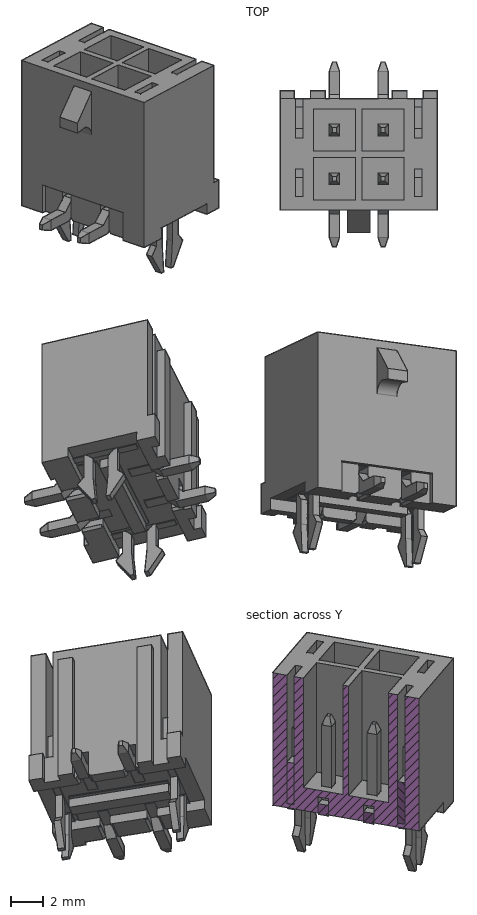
import cadquery as cq


pitch = 3.0
grid = [(column * pitch / 2, side) for column in (-1, 1) for side in (-1, 1)]
housing_width = 9.7
housing_depth = 6.88
housing_height = 9.9
total_height = 13.0
half_width = housing_width / 2
half_depth = housing_depth / 2

cavity_side = 2.6
cavity_floor_z = 2.34

rear_projection = 0.5
foot_width = 0.88
foot_height = 1.91
rib_inner_x = 2.05
rib_width = 0.94
rib_height = 8.9

channel_front_y = -1.74
channel_rear_y = 2.73
channel_height = 0.72
pad_drop = 0.08
front_pad_rear_y = -0.45
rear_pad_rear_y = 0.79
standoff_front_y = -0.22
standoff_rear_y = 0.58
recess_width = 6.35
recess_height = 1.9
recess_depth = 0.29

latch_width = 1.39
latch_reach = 1.39
latch_top_z = 9.41
latch_nose_top_z = 7.77
latch_nose_bottom_z = 7.1
latch_root_z = 6.49
latch_arc_depth = 0.7
latch_arc_top_z = 7.2
latch_arc_mid_depth = 0.22
latch_arc_mid_z = 6.98

pin_width = 0.65
pin_thickness = 0.72
pin_span = 11.4
pin_reach = pin_span / 2
pin_top_z = 7.15
tip_length = 0.58
tip_width = 0.25
tail_tip_thickness = 0.34
leg_tip_thickness = 0.29
run_bottom_z = channel_height - pad_drop
run_top_z = 1.4
bend_bottom_y = 2.6
bend_top_y = 3.0
leg_inner_y = pitch / 2 - pin_thickness / 2
leg_outer_y = pitch / 2 + pin_thickness / 2
slot_height = 1.83
slot_chamfer = 0.15

clip_x = 3.67
clip_thickness = 0.44
clip_centre_y = 0.05
clip_tip_z = housing_height - total_height
leg_inner = 0.5
leg_outer = 1.09
barb_outer = 1.52
barb_top_z = -1.08
barb_point_z = -1.61
leg_bend_z = -1.3
leg_tip_inner = 0.35
leg_tip_outer = 0.6
notch_start_z = 0.29
arm_inner = 0.95
notch_top_z = notch_start_z + arm_inner - leg_inner
shoulder_z = run_bottom_z
shoulder_outer = 2.3
wing_bottom_z = 1.04
wing_top_z = 3.9
arm_top_z = 5.85
rear_arm_outer = 1.53
rear_wing_outer = 2.86
front_arm_outer = 1.47
front_wing_outer = 2.65


def box(x0, x1, y0, y1, z0, z1):
    """Axis-aligned block between the given limits."""
    return cq.Workplane("XY").box(x1 - x0, y1 - y0, z1 - z0, centered=False).translate((x0, y0, z0))


def side_prism(points, x, width):
    """Prism of a (Y, Z) outline, centred on the given X."""
    return cq.Workplane("YZ").polyline(points).close().extrude(width / 2, both=True).translate((x, 0, 0))


def tapered_tip(plane, tip_thickness):
    """Frustum that narrows from the pin section to its blunt end."""
    return (
        cq.Workplane(plane)
        .rect(pin_width, pin_thickness)
        .workplane(offset=tip_length)
        .rect(tip_width, tip_thickness)
        .loft(ruled=True)
    )


def make_pin(x, side):
    """Contact: vertical leg, run under the cavity, bend down and solder tail."""
    tail_end_y = pin_reach - tip_length
    leg_end_z = pin_top_z - tip_length
    outline = [
        (leg_inner_y, run_bottom_z),
        (bend_bottom_y, run_bottom_z),
        (bend_bottom_y + run_bottom_z, 0),
        (tail_end_y, 0),
        (tail_end_y, pin_thickness),
        (bend_top_y + run_top_z - pin_thickness, pin_thickness),
        (bend_top_y, run_top_z),
        (leg_outer_y, run_top_z),
        (leg_outer_y, leg_end_z),
        (leg_inner_y, leg_end_z),
    ]
    pin = side_prism(outline, 0, pin_width)
    tail_plane = cq.Plane((0, tail_end_y, pin_thickness / 2), xDir=(1, 0, 0), normal=(0, 1, 0))
    leg_plane = cq.Plane((0, pitch / 2, leg_end_z))
    pin = pin.union(tapered_tip(tail_plane, tail_tip_thickness))
    pin = pin.union(tapered_tip(leg_plane, leg_tip_thickness))
    if side < 0:
        pin = pin.rotate((0, 0, 0), (0, 0, 1), 180)
    return pin.translate((x, 0, 0))


def clip_half(side, arm_outer, wing_outer):
    """Half outline of a clip, from the inner top of the leg notch round to the top of the bridge."""
    half = [
        (0, notch_top_z),
        (arm_inner, notch_top_z),
        (leg_inner, notch_start_z),
        (leg_inner, leg_bend_z),
        (leg_tip_inner, clip_tip_z),
        (leg_tip_outer, clip_tip_z),
        (barb_outer, barb_point_z),
        (leg_outer, barb_top_z),
        (leg_outer, shoulder_z),
        (shoulder_outer, shoulder_z),
        (shoulder_outer, wing_bottom_z),
        (wing_outer, wing_bottom_z),
        (wing_outer, wing_top_z),
        (arm_outer, wing_top_z),
        (arm_outer, arm_top_z),
        (arm_inner, arm_top_z),
        (arm_inner, wing_top_z),
        (0, wing_top_z),
    ]
    return [(clip_centre_y + side * y, z) for y, z in half]


def make_clip(x):
    """Flat board lock: two barbed legs joined by a bridge, with two arms above."""
    rear_half = clip_half(1, rear_arm_outer, rear_wing_outer)
    front_half = clip_half(-1, front_arm_outer, front_wing_outer)
    return side_prism(rear_half, x, clip_thickness).union(side_prism(front_half, x, clip_thickness))


def make_latch():
    """Ramped catch with a hollow curved underside."""
    front_y = -half_depth
    return (
        cq.Workplane("YZ")
        .moveTo(front_y, latch_root_z)
        .lineTo(front_y, latch_top_z)
        .lineTo(front_y - latch_reach, latch_nose_top_z)
        .lineTo(front_y - latch_reach, latch_nose_bottom_z)
        .lineTo(front_y - latch_arc_depth, latch_arc_top_z)
        .threePointArc((front_y - latch_arc_mid_depth, latch_arc_mid_z), (front_y, latch_root_z))
        .close()
        .extrude(latch_width / 2, both=True)
    )


def pin_passage(x, side):
    """Slot under a contact with a flared mouth at the bottom, and the hole for its leg."""
    half = pin_width / 2
    flare = half + slot_chamfer
    slot = (
        cq.Workplane("XZ")
        .polyline([(-flare, 0), (-half, slot_chamfer), (-half, slot_height),
                   (half, slot_height), (half, slot_chamfer), (flare, 0)])
        .close()
        .extrude(-(half_depth - leg_outer_y))
        .translate((0, leg_outer_y, 0))
    )
    hole = box(-half, half, leg_inner_y, leg_outer_y, 0, cavity_floor_z)
    passage = slot.union(hole)
    if side < 0:
        passage = passage.rotate((0, 0, 0), (0, 0, 1), 180)
    return passage.translate((x, 0, 0))


def clip_slots(x):
    """Two shafts above a clip; the rear one opens through the back wall above the foot."""
    x0 = x - clip_thickness / 2
    x1 = x + clip_thickness / 2
    front_y0 = clip_centre_y - front_wing_outer
    front_y1 = clip_centre_y - arm_inner
    rear_y0 = clip_centre_y + arm_inner
    rear_y1 = clip_centre_y + rear_wing_outer
    front_shaft = box(x0, x1, front_y0, front_y1, wing_top_z, housing_height)
    rear_shaft = box(x0, x1, rear_y0, rear_y1, wing_top_z, housing_height)
    back_opening = box(x0, x1, rear_y1, half_depth, foot_height, housing_height)
    return front_shaft.union(rear_shaft).union(back_opening)


def make_housing(clips):
    body = box(-half_width, half_width, -half_depth, half_depth, 0, housing_height)

    rear_y = half_depth + rear_projection
    for foot_x, width, height in (
        (half_width - foot_width, foot_width, foot_height),
        (rib_inner_x, rib_width, rib_height),
    ):
        block = box(foot_x, foot_x + width, half_depth, rear_y, 0, height)
        body = body.union(block).union(block.mirror("YZ"))

    body = body.cut(box(-half_width, half_width, channel_front_y, channel_rear_y, 0, channel_height))
    pad_half = recess_width / 2
    pad_z = channel_height - pad_drop
    body = body.union(box(-pad_half, pad_half, channel_front_y, front_pad_rear_y, pad_z, channel_height))
    body = body.union(box(-pad_half, pad_half, standoff_rear_y, rear_pad_rear_y, pad_z, channel_height))
    body = body.union(box(-pad_half, pad_half, standoff_front_y, standoff_rear_y, 0, channel_height))

    body = body.cut(
        box(-pad_half, pad_half, -half_depth, -half_depth + recess_depth, 0, recess_height)
    )

    for x, side in grid:
        cavity = box(-cavity_side / 2, cavity_side / 2, -cavity_side / 2, cavity_side / 2,
                     cavity_floor_z, housing_height)
        body = body.cut(cavity.translate((x, side * pitch / 2, 0)))
        body = body.cut(pin_passage(x, side))

    for clip in clips:
        body = body.cut(clip)
    for x in (-clip_x, clip_x):
        body = body.cut(clip_slots(x))

    return body.union(make_latch())


pins = [make_pin(x, side) for x, side in grid]
clips = [make_clip(x) for x in (-clip_x, clip_x)]
housing = make_housing(clips)

result = cq.Compound.makeCompound(
    [housing.val(), *[pin.val() for pin in pins], *[clip.val() for clip in clips]]
)